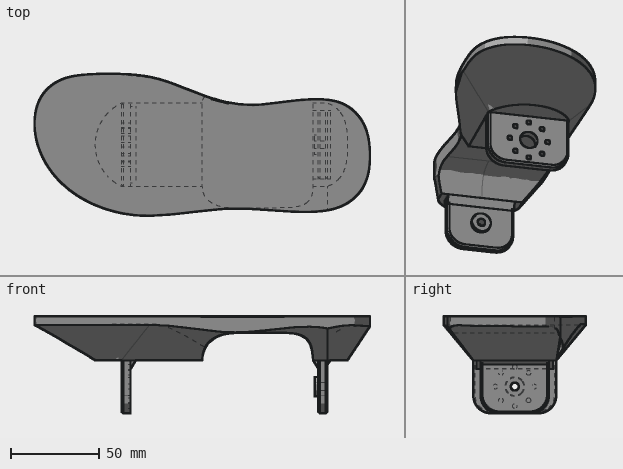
import cadquery as cq
import math

FOOT_LENGTH = 190.0
FOOT_WIDTH = 80.5
RIM_DEPTH = 4.5
SKIRT_BOTTOM = -25.0
LUG_BOTTOM = -55.0
TOP_EDGE_ROUND = 0.5

TOE = [
    (-29.2, -40.3), (-56.8, -35.7), (-80.7, -20.7), (-91.0, -5.9), (-95.0, 12.3),
    (-91.2, 27.2), (-80.7, 36.5), (-67.0, 39.7), (-53.4, 40.3),
]
INNER_WAIST = [(-25.8, 37.6), (-5.3, 30.2), (12.0, 24.5), (29.0, 22.6), (46.2, 24.3)]
HEEL = [
    (63.5, 25.8), (80.5, 22.8), (90.8, 13.0), (95.0, -4.7),
    (90.8, -24.5), (80.5, -34.0), (63.5, -38.0),
]
OUTER_WAIST = [(35.9, -36.8), (13.7, -36.3), (-5.3, -38.2)]

HEEL_BRIDGE_INNER = (70.3, 26.5)
HEEL_BRIDGE_OUTER = (70.3, -38.7)

SKIRT_HALF_WIDTH = 23.5
SKIRT_TOE_X = -60.5
SKIRT_HEEL_X = 82.2
SKIRT_HEEL_CORNER = (79.2, 16.7)

SKIRT_OVERSIZE = 1.008

ARCH_FRONT_X = 0.0
ARCH_REAR_X = 62.7
ARCH_TOP = -9.5
ARCH_FRONT_SHOULDER = (7.0, -12.3)
ARCH_REAR_SHOULDER = (59.0, -13.0)
ARCH_FLAT_START_X = 21.8
ARCH_FLAT_END_X = 46.5

LUG_THICKNESS = 5.3
LUG_CORNER_RADIUS = 10.3
LUG_EDGE_CHAMFER = 1.1
FRONT_LUG_X = -45.8
REAR_LUG_X = 65.5
FRONT_LUG_HALF_WIDTH = SKIRT_HALF_WIDTH
REAR_LUG_HALF_WIDTH = 19.4
AXIS_Z = -39.9

FRONT_FLARE = (2.8, 5.0)
FRONT_FLARE_INSET = 1.9
FRONT_FLARE_WIDTH = 2 * (FRONT_LUG_HALF_WIDTH - FRONT_FLARE_INSET)
REAR_INNER_FLARE = (2.8, 4.5)
REAR_OUTER_FLARE = (1.7, 2.3)

HUB_HOLE_DIAMETER = 10.0
SCREW_HOLE_DIAMETER = 2.7
SCREW_CIRCLE_RADIUS = 11.0
SCREW_COUNT = 8

PIVOT_BOSS_DIAMETER = 11.0
PIVOT_BOSS_HEIGHT = 1.9
PIVOT_HOLE_DIAMETER = 4.4


def foot_prism(top, bottom):
    """Straight-walled block with the foot outline."""
    points = TOE + INNER_WAIST + HEEL + OUTER_WAIST
    outline = cq.Workplane("XY").workplane(offset=bottom).spline(points, periodic=True).close()
    return outline.extrude(top - bottom)


def vectors(points):
    return [cq.Vector(x, y) for x, y in points]


def closed_wire(toe, heel, z):
    """Toe and heel curves joined by straight sides, placed at height z."""
    inner_side = cq.Edge.makeLine(toe.endPoint(), heel.startPoint())
    outer_side = cq.Edge.makeLine(heel.endPoint(), toe.startPoint())
    wire = cq.Wire.assembleEdges([toe, inner_side, heel, outer_side])
    return wire.translate(cq.Vector(0, 0, z))


def skirt_top_wire(z):
    """Oversize foot outline with both waists bridged by straight lines."""
    heel_points = [HEEL_BRIDGE_INNER] + HEEL[1:-1] + [HEEL_BRIDGE_OUTER]
    toe = [point * SKIRT_OVERSIZE for point in vectors(TOE)]
    heel = [point * SKIRT_OVERSIZE for point in vectors(heel_points)]
    return closed_wire(cq.Edge.makeSpline(toe), cq.Edge.makeSpline(heel), z)


def skirt_bottom_wire(z):
    """Straight sides closed by an arc at the toe and a rounded end at the heel."""
    front_x = FRONT_LUG_X
    rear_x = REAR_LUG_X + LUG_THICKNESS
    corner_x, corner_y = SKIRT_HEEL_CORNER
    toe = vectors([(front_x, -SKIRT_HALF_WIDTH), (SKIRT_TOE_X, 0), (front_x, SKIRT_HALF_WIDTH)])
    heel = vectors([
        (rear_x, SKIRT_HALF_WIDTH), (corner_x, corner_y), (SKIRT_HEEL_X, 0),
        (corner_x, -corner_y), (rear_x, -SKIRT_HALF_WIDTH),
    ])
    return closed_wire(cq.Edge.makeThreePointArc(*toe), cq.Edge.makeSpline(heel), z)


def arch_cutter():
    """Opening across Y with a swept shoulder at each upper corner."""
    up = (0, 1)
    down = (0, -1)
    along_x = (1, 0)
    front_shoulder = [(ARCH_FRONT_X, SKIRT_BOTTOM), ARCH_FRONT_SHOULDER, (ARCH_FLAT_START_X, ARCH_TOP)]
    rear_shoulder = [(ARCH_FLAT_END_X, ARCH_TOP), ARCH_REAR_SHOULDER, (ARCH_REAR_X, SKIRT_BOTTOM)]
    return (
        cq.Workplane("XZ")
        .moveTo(ARCH_FRONT_X, SKIRT_BOTTOM)
        .spline(front_shoulder, tangents=[up, along_x])
        .lineTo(ARCH_FLAT_END_X, ARCH_TOP)
        .spline(rear_shoulder, tangents=[along_x, down])
        .close()
        .extrude(FOOT_WIDTH, both=True)
    )


def foot_body():
    """Rim and tapered skirt, trimmed to the foot outline and opened by the arch."""
    wires = [skirt_bottom_wire(SKIRT_BOTTOM), skirt_top_wire(-RIM_DEPTH)]
    taper = cq.Workplane(cq.Solid.makeLoft(wires, ruled=True))
    rim_stock = cq.Workplane("XY").box(
        2 * FOOT_LENGTH, 2 * FOOT_WIDTH, RIM_DEPTH, centered=(True, True, False)
    ).translate((0, 0, -RIM_DEPTH))
    body = foot_prism(0, SKIRT_BOTTOM).intersect(rim_stock.union(taper))
    return body.faces(">Z").edges().fillet(TOP_EDGE_ROUND).cut(arch_cutter())


def lug(x, half, chamfered_faces):
    """Plate across Y of half width `half`, -X face at x, rounded below and chamfered around the given faces."""
    plate = (
        cq.Workplane("YZ", origin=(x, 0, 0))
        .moveTo(-half, SKIRT_BOTTOM)
        .lineTo(-half, LUG_BOTTOM)
        .lineTo(half, LUG_BOTTOM)
        .lineTo(half, SKIRT_BOTTOM)
        .close()
        .extrude(LUG_THICKNESS)
        .edges("|X and <Z").fillet(LUG_CORNER_RADIUS)
    )
    for face in chamfered_faces:
        plate = plate.faces(face).edges("not >Z").chamfer(LUG_EDGE_CHAMFER)
    return plate


def flare(x, size, width):
    """Triangular fillet under the skirt; a negative size along X points it toward -X."""
    run, drop = size
    return (
        cq.Workplane("XZ")
        .polyline([(x, SKIRT_BOTTOM), (x + run, SKIRT_BOTTOM), (x, SKIRT_BOTTOM - drop)])
        .close()
        .extrude(width / 2, both=True)
    )


def x_cylinder(diameter, x, length, y=0.0, z=AXIS_Z):
    return cq.Workplane("YZ", origin=(x, y, z)).circle(diameter / 2).extrude(length)


def front_lug():
    """Lug with the hub hole and the ring of screw holes."""
    x = FRONT_LUG_X
    body = lug(x, FRONT_LUG_HALF_WIDTH, ["<X"]).union(flare(x + LUG_THICKNESS, FRONT_FLARE, FRONT_FLARE_WIDTH))
    body = body.cut(x_cylinder(HUB_HOLE_DIAMETER, x, LUG_THICKNESS))
    for i in range(SCREW_COUNT):
        angle = 2 * math.pi * i / SCREW_COUNT
        y = SCREW_CIRCLE_RADIUS * math.cos(angle)
        z = AXIS_Z + SCREW_CIRCLE_RADIUS * math.sin(angle)
        body = body.cut(x_cylinder(SCREW_HOLE_DIAMETER, x, LUG_THICKNESS, y, z))
    return body


def rear_lug():
    """Lug with the drilled pivot boss on its inner face."""
    x = REAR_LUG_X
    width = 2 * REAR_LUG_HALF_WIDTH
    boss_x = x - PIVOT_BOSS_HEIGHT
    reach = LUG_THICKNESS + PIVOT_BOSS_HEIGHT
    return (
        lug(x, REAR_LUG_HALF_WIDTH, ["<X", ">X"])
        .union(flare(x, (-REAR_INNER_FLARE[0], REAR_INNER_FLARE[1]), width))
        .union(flare(x + LUG_THICKNESS, REAR_OUTER_FLARE, width))
        .union(x_cylinder(PIVOT_BOSS_DIAMETER, boss_x, PIVOT_BOSS_HEIGHT))
        .cut(x_cylinder(PIVOT_HOLE_DIAMETER, boss_x, reach))
    )


result = foot_body().union(front_lug()).union(rear_lug())